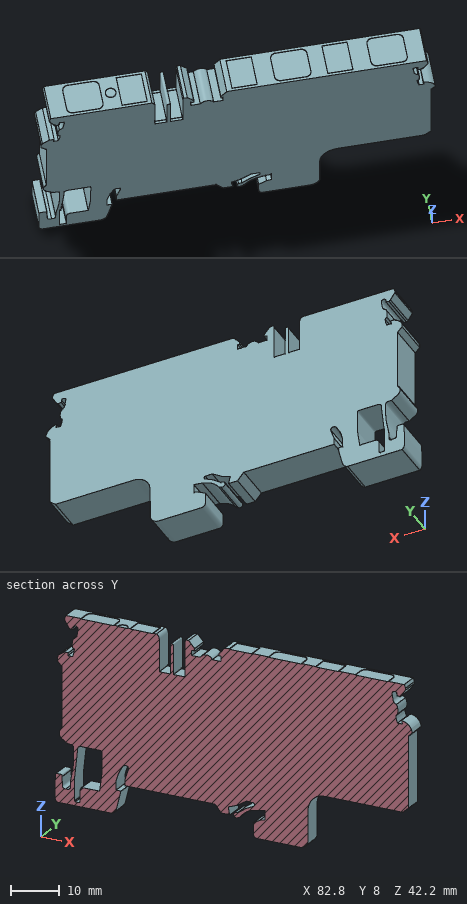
import cadquery as cq

length = 82.85
thickness = 8.0
height = 42.2

ear_level = 34.0
top_edge_start = 2.2
top_edge_end = 81.25
top_chamfer_run = 0.3
top_chamfer_drop = 0.75
notch_height = 7.0
left_wall = 1.55
right_wall = 81.9
shoulder_level = 13.5
underside_level = 6.75
foot_right_bottom = 1.0
foot_right_start = 45.9
foot_right_end = 58.7
foot_bend_radius = 3.75
rail_stop_end = 40.2
clip_gap_start = 14.25
clip_gap_end = 16.2
cut_margin = 1.0

slot_start = 24.25
slot_end = 30.05
slot_floor = ear_level
fin_start = 26.75
fin_width = 0.75
fin_height = 6.75

groove_center = 35.1
groove_floor = 39.0
groove_half_width = 3.35
groove_lip_half_width = 2.7
groove_lip_level = 40.05
groove_ridge_half_width = 1.4
groove_ridge_height = 0.8

mark_depth = 0.1
mark_width = 6.75
screw_mark_length = 7.6
screw_mark_radius = 1.2
screw_mark_centers = [9.93, 53.33, 73.45]
plug_mark_length = 5.25
plug_mark_centers = [20.12, 43.07, 63.07]
round_mark_center = 15.72
round_mark_diameter = 2.2


def trace(path, anchor, steps):
    """Continue a path with steps given as offsets from an anchor point.

    A step (x, z) is a straight line to that offset.
    A step (xm, zm, x, z) is an arc through the first offset to the second.
    """
    x0, z0 = anchor
    for step in steps:
        end = (x0 + step[-2], z0 + step[-1])
        if len(step) == 2:
            path = path.lineTo(*end)
        else:
            path = path.threePointArc((x0 + step[0], z0 + step[1]), end)
    return path


def plate(anchor, start, steps, depth=thickness):
    """Closed profile from the front face back to the given depth."""
    first = (anchor[0] + start[0], anchor[1] + start[1])
    path = cq.Workplane("XZ").moveTo(*first)
    return trace(path, anchor, steps).close().extrude(-depth)


def housing():
    """Outer side profile, run clockwise from the upper left corner."""
    path = cq.Workplane("XZ").moveTo(top_edge_start, height - top_chamfer_drop)
    path = path.lineTo(top_edge_start + top_chamfer_run, height)
    path = path.lineTo(top_edge_end - top_chamfer_run, height)
    path = path.lineTo(top_edge_end, height - top_chamfer_drop)
    path = trace(path, (length, ear_level), [
        (top_edge_end - length, 0), (-2.3, 0),
        (-1.1, -0.5, -0.3, -1.4), (0, -2.25), (right_wall - length, -3.2),
    ])
    path = trace(path, (right_wall, shoulder_level), [(0, 1.15), (-1.35, 0)])
    bend = foot_bend_radius
    path = path.lineTo(foot_right_end + bend, shoulder_level)
    path = path.radiusArc((foot_right_end, shoulder_level - bend), -bend)
    path = trace(path, (foot_right_end, foot_right_bottom), [(0, 1.7), (-0.6, 0.6, -2.0, 0)])
    path = trace(path, (foot_right_start, foot_right_bottom), [(0.85, 0), (0.25, 0.3, 0, 1.0)])
    path = path.lineTo(foot_right_start, underside_level)
    path = trace(path, (rail_stop_end, underside_level), [
        (0, 0), (0.35, -1.7), (-1.7, -1.7), (-3.15, 0),
    ])
    path = path.lineTo(clip_gap_end, underside_level)
    path = trace(path, (clip_gap_start, underside_level), [
        (1.95, 1.55), (2.8, 4.05), (2.1, 4.55, 1.5, 4.25), (0.6, 2.6, 0, 0.8), (0, -1.25), (1.1, -1.3),
    ])
    path = trace(path, (0, 0), [
        (14.3, 1.25), (13.9, 0.5, 13.1, 0),
        (0.5, 0), (0.14, 0.41, 0, 0.95), (0, 3.95), (0.05, 6.0),
        (0.15, 6.4, 0.4, 6.5), (1.3, 6.5), (1.6, 6.4, 1.7, 6.0),
        (1.8, 4.2), (2.0, 3.55, 2.65, 3.5), (3.3, 3.55, 3.5, 4.2),
        (3.6, 5.6), (4.1, 8.2), (4.25, 9.45, 4.3, 10.75),
    ])
    path = trace(path, (left_wall, shoulder_level), [
        (2.75, -0.7), (2.6, -0.2, 2.1, 0), (1.4, 0), (0.1, 0.85), (-0.6, 2.1, 0, 3.25),
    ])
    path = trace(path, (0, ear_level), [
        (left_wall, -3.45), (0.5, -2.4), (0.5, -1.6), (0.75, -1.0), (top_edge_start, 0),
    ])
    return path.close().extrude(-thickness)


def end_notch():
    """Hooked notch for a marker strip above the left ear."""
    open_side = -cut_margin
    return plate((top_edge_start, ear_level), (0, notch_height), [
        (1.0, 5.45), (1.35, 5.2), (2.05, 5.3), (2.1, 5.85), (2.6, 6.15, 3.1, 5.5),
        (2.85, 4.1), (2.5, 3.6, 2.1, 3.4), (1.75, 2.0, 1.85, 1.3), (2.25, 0.85), (2.1, 0),
        (1.85, -0.7), (0.85, -0.7), (1.0, 0), (0, 0),
        (open_side, cut_margin), (open_side, notch_height),
    ])


def top_slots():
    """Wide slot with a rounded entry, leaving a slender fin in the middle."""
    width = slot_end - slot_start
    depth = height - slot_floor
    slot = plate((slot_start, slot_floor), (0, 0), [
        (0, depth - 1.25), (-0.17, depth - 0.54, -0.65, depth),
        (width + 0.2, depth), (width, depth - 0.5), (width, 0),
    ])
    tip = fin_height - fin_width / 2
    fin = plate((fin_start, slot_floor), (0, 0), [
        (0, tip), (fin_width / 2, fin_height, fin_width, tip), (fin_width, 0),
    ])
    return slot.cut(fin)


def label_groove():
    """Undercut groove with flared sides and a rounded ridge on its floor."""
    rise = height - groove_floor
    lip = groove_lip_level - groove_floor
    half = groove_half_width
    neck = groove_lip_half_width
    ridge = groove_ridge_half_width
    return plate((groove_center, groove_floor), (-half, 0), [
        (-half, lip), (-neck, lip), (-neck, lip + 0.6), (-4.1, rise),
        (4.6, rise), (4.15, rise - 0.1), (neck + 0.2, lip + 0.6), (neck + 0.2, lip),
        (half, lip), (half, 0),
        (ridge, 0), (0, groove_ridge_height, -ridge, 0),
    ])


def clip_window():
    """Opening that leaves the clip foot hanging on a thin leaf at its left."""
    return plate((0, 0), (5.95, shoulder_level), [
        (10.45, shoulder_level), (10.75, 13.4, 10.85, 13.1), (10.8, 8.2), (10.3, 4.5),
        (6.6, 4.5), (6.05, 4.3, 5.8, 3.8), (5.8, 1.2), (5.6, 1.0),
        (4.75, 1.0), (4.6, 1.2), (4.6, 6.1), (5.3, 12.6), (5.5, 13.3, 5.95, shoulder_level),
    ])


def clip_slot_step():
    """The narrow lower end of the clip window is slightly larger in the front half."""
    steps = [(4.35, 0.8), (5.75, 0.8), (5.75, 3.8), (4.65, 6.1)]
    return plate((0, 0), (4.35, 6.1), steps, thickness / 2)


def rail_pocket():
    """Pocket left of the right foot that takes the rail edge."""
    return plate((foot_right_start, underside_level), (rail_stop_end - foot_right_start, 0), [
        (-3.7, 0.75), (-1.55, 2.1), (0.05, 2.05), (0.3, 1.75, 0.15, 1.4),
        (0.6, 0.5), (2.7, 0.8), (2.7, -1.2), (1.65, -1.4), (0, -2.35),
        (-cut_margin, -2.35), (-cut_margin, 0),
    ])


def rail_tongue():
    """Springy curved tongue inside the rail pocket, with a rounded tip."""
    return plate((foot_right_start, underside_level), (0.15, 1.4), [
        (-1.75, 0.5), (-3.5, -0.75), (-4.2, -0.85), (-4.45, -1.8, -3.5, -1.95),
        (-3.1, -1.85), (-1.55, -0.35, 0.7, 0.5), (1.2, 1.4),
    ])


def mark_plane(level):
    """Sketch plane at a height, with Y measured from the middle of the thickness."""
    return cq.Workplane("XY", origin=(0, thickness / 2, level))


def screw_mark(center):
    mark = mark_plane(height).center(center, 0).rect(screw_mark_length, mark_width)
    return mark.extrude(-mark_depth).edges("|Z").fillet(screw_mark_radius)


def rectangular_mark(start, end, level):
    mark = mark_plane(level).center((start + end) / 2, 0).rect(end - start, mark_width)
    return mark.extrude(-mark_depth)


def shallow_marks():
    """Flat areas sunk slightly into the top face and the slot floors."""
    marks = mark_plane(height).center(round_mark_center, 0).circle(round_mark_diameter / 2)
    marks = marks.extrude(-mark_depth)
    for center in screw_mark_centers:
        marks = marks.add(screw_mark(center))
    for center in plug_mark_centers:
        half = plug_mark_length / 2
        marks = marks.add(rectangular_mark(center - half, center + half, height))
    marks = marks.add(rectangular_mark(slot_start, fin_start, slot_floor))
    marks = marks.add(rectangular_mark(fin_start + fin_width, slot_end, slot_floor))
    return marks.combine()


left_notch = end_notch()
right_notch = left_notch.mirror("YZ").translate((top_edge_start + top_edge_end, 0, 0))

result = housing()
for opening in (
    left_notch, right_notch, top_slots(), label_groove(),
    clip_window(), clip_slot_step(), rail_pocket(), shallow_marks(),
):
    result = result.cut(opening)
result = result.union(rail_tongue())